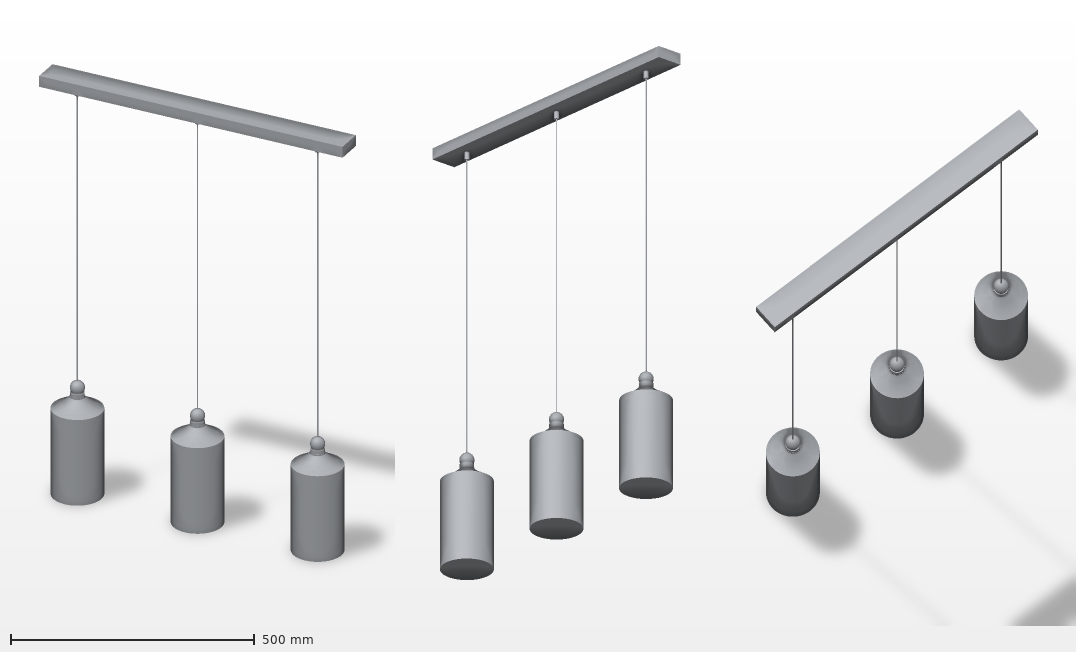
import cadquery as cq
import math

total_height = 957.3
lamp_count = 3
lamp_pitch = 277.0

bar_length = 700.0
bar_width = 60.0
bar_thickness = 25.0
bar_bottom = total_height - bar_thickness

shade_diameter = 110.58
shade_radius = shade_diameter / 2
shade_height = 187.0

rim_height = 10.0
rim_top = shade_height + rim_height
cone_height = 26.0
cone_top = rim_top + cone_height
cone_hollow = 2.0

base_ring_radius = 15.5
base_ring_height = 3.0
base_ring_top = cone_top + base_ring_height
sleeve_radius = 15.0
sleeve_height = 8.0
sleeve_top = base_ring_top + sleeve_height

neck_radius = 13.0
neck_height = 2.0
neck_top = sleeve_top + neck_height
ball_radius = 15.5
ball_center = neck_top + math.sqrt(ball_radius**2 - neck_radius**2)

cord_radius = 1.5
cord_bottom = ball_center + math.sqrt(ball_radius**2 - cord_radius**2)
ferrule_radius = 5.5
ferrule_length = 16.0
ferrule_bottom = bar_bottom - ferrule_length


def make_bar():
    return cq.Workplane("XY", origin=(0, 0, bar_bottom)).rect(bar_length, bar_width).extrude(bar_thickness)


def make_shade(x):
    return cq.Workplane("XY", origin=(x, 0, 0)).circle(shade_radius).extrude(shade_height)


def make_suspension(x):
    """Cap, ball, cord and ferrule: one turned body around the lamp's axis."""
    cone_run = shade_radius - base_ring_radius
    cone_slant = math.hypot(cone_run, cone_height)
    cone_mid_radius = (shade_radius + base_ring_radius) / 2 - cone_hollow * cone_height / cone_slant
    cone_mid_height = (rim_top + cone_top) / 2 - cone_hollow * cone_run / cone_slant
    profile = (
        cq.Workplane("XZ", origin=(x, 0, 0))
        .moveTo(0, shade_height)
        .lineTo(shade_radius, shade_height)
        .lineTo(shade_radius, rim_top)
        .threePointArc((cone_mid_radius, cone_mid_height), (base_ring_radius, cone_top))
        .lineTo(base_ring_radius, base_ring_top)
        .lineTo(sleeve_radius, base_ring_top)
        .lineTo(sleeve_radius, sleeve_top)
        .lineTo(neck_radius, sleeve_top)
        .lineTo(neck_radius, neck_top)
        .threePointArc((ball_radius, ball_center), (cord_radius, cord_bottom))
        .lineTo(cord_radius, ferrule_bottom)
        .lineTo(ferrule_radius, ferrule_bottom)
        .lineTo(ferrule_radius, bar_bottom)
        .lineTo(0, bar_bottom)
        .close()
    )
    return profile.revolve(360, (0, 0, 0), (0, 1, 0))


bar = make_bar()
lamp_bodies = []
for index in range(lamp_count):
    lamp_x = (index - (lamp_count - 1) / 2) * lamp_pitch
    lamp_bodies.append(make_shade(lamp_x).val())
    lamp_bodies.append(make_suspension(lamp_x).val())

result = cq.Compound.makeCompound([bar.val(), *lamp_bodies])